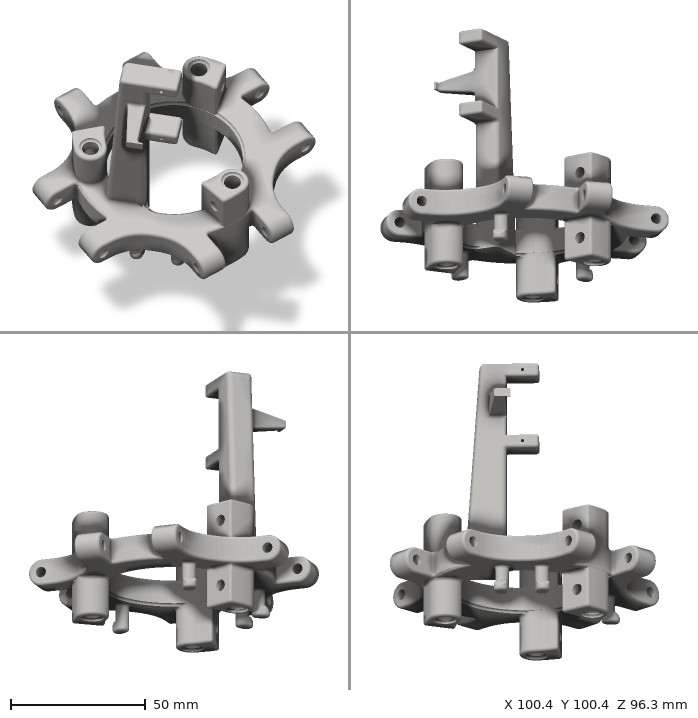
import cadquery as cq
import math

SPAN = 100.4
RING_THICKNESS = 10.0
RING_INNER_R = 25.6
RING_OUTER_R = 38.1
RING_MID_R = (RING_INNER_R + RING_OUTER_R) / 2
LUG_INNER = 10.3
LUG_WIDTH = 9.9
LUG_HOLE_D = 4.0
LUG_HOLE_REACH = (SPAN - RING_THICKNESS) / 2
WIDE_CORNER_R = 20.0
TIGHT_CORNER_R = 1.0
EDGE_R = 1.0
WIDE_RIM_START = -55
WIDE_RIM_END = 0

POST_ANGLES = (9, 129, 249)
POST_HEIGHT = 40.0
POST_INSET = 0.1
POST_FLAT_OFFSET = 9.2
ROD_HOLE_D = 6.3
SCREW_HOLE_D = 4.3
SCREW_HOLE_Z = 12.6

PIN_ANGLES = (58.5, 211.5, 301.5, 328.5)
PIN_D = 5.0
PIN_BOTTOM_Z = -15.1
HOOK_REACH = 1.8
HOOK_TOP_Z = -11.2
HOOK_EDGE_R = 0.7

TOWER_TURN = 45
TOWER_WIDTH = 10.0
TOWER_CENTER_Y = -20.0
TOWER_NEAR_Y = TOWER_CENTER_Y - TOWER_WIDTH / 2
TOWER_FRONT_X = -6.0
TOWER_BACK_BASE_X = -21.0
TOWER_BACK_TOP_X = -16.0
TOWER_TOP_Z = 76.3
TOWER_EDGE_R = 2.0
TOWER_WEB_R = 5.0
RING_TOWER_EDGE_R = 2.0
PRONG_TIP_X = 6.0
PRONG_HEIGHT = 5.0
PRONG_SPACING = 27.7
PRONG_HOLE_D = 1.2
PRONG_HOLE_DEPTH = 5.0

ARM_Z = TOWER_TOP_Z - PRONG_HEIGHT / 2 - PRONG_SPACING / 2
ARM_LENGTH = 16.0
ARM_ROOT_DEPTH = 6.6
ARM_TIP_DEPTH = 4.1
ARM_ROOT_HEIGHT = 8.4
ARM_TIP_HEIGHT = 3.0
ARM_EDGE_R = 0.7
LIP_THICKNESS = 1.0
LIP_HEIGHT = 2.0
LIP_FILLET_R = 1.0
ARM_ROOT_OVERLAP = 1.5

TOUCH = 0.1

RING_TOP_Z = RING_THICKNESS / 2
RING_BOTTOM_Z = -RING_TOP_Z
LOWER_PRONG_BOTTOM_Z = TOWER_TOP_Z - PRONG_HEIGHT - PRONG_SPACING


def cylinder(diameter, z_bottom, z_top, x=0.0, y=0.0):
    return cq.Workplane("XY", origin=(x, y, z_bottom)).circle(diameter / 2).extrude(z_top - z_bottom)


def centered_bar(x_size, y_size, height, x=0.0, y=0.0):
    return cq.Workplane("XY").box(x_size, y_size, height).translate((x, y, 0))


def turn(shape, degrees):
    return shape.rotate((0, 0, 0), (0, 0, 1), degrees)


def opening(radius, half_height, top_edge_r, bottom_edge_r):
    """Tool for a round opening through a body from -half_height to half_height, with rounded mouths."""
    return (
        cq.Workplane("XZ")
        .moveTo(0, -half_height)
        .lineTo(radius + bottom_edge_r, -half_height)
        .radiusArc((radius, bottom_edge_r - half_height), -bottom_edge_r)
        .lineTo(radius, half_height - top_edge_r)
        .radiusArc((radius + top_edge_r, half_height), -top_edge_r)
        .lineTo(0, half_height)
        .close()
        .revolve(360, (0, 0, 0), (0, 1, 0))
    )


def upright_edges_near_ring(shape, wide):
    """Corners between lugs and ring: the wide ones lie near the diagonals."""
    found = []
    for edge in shape.edges("|Z").vals():
        center = edge.Center()
        radius = math.hypot(center.x, center.y)
        near_diagonal = min(abs(center.x), abs(center.y)) > LUG_INNER + LUG_WIDTH / 2
        if RING_INNER_R + EDGE_R < radius < RING_OUTER_R + EDGE_R and near_diagonal == wide:
            found.append(edge)
    return found


def outer_rim_edges(plate):
    """All top and bottom outline edges, without the lines across the lugs where their rounding starts."""
    found = []
    for edge in plate.edges("not(|Z)").vals():
        center = edge.Center()
        if abs(max(abs(center.x), abs(center.y)) - LUG_HOLE_REACH) > EDGE_R / 2:
            found.append(edge)
    return found


def wide_rim_sector():
    """Part of the ring opening, between the tower and the nearest post, whose upper rim is rounded more."""
    hollow = opening(RING_INNER_R, RING_TOP_Z, RING_TOWER_EDGE_R, EDGE_R)
    corners = [(0, 0)]
    for degrees in (WIDE_RIM_START, WIDE_RIM_END):
        radians = math.radians(degrees)
        corners.append((RING_OUTER_R * math.cos(radians), RING_OUTER_R * math.sin(radians)))
    wedge = cq.Workplane("XY").polyline(corners).close().extrude(RING_THICKNESS, both=True)
    return hollow.intersect(wedge)


def ring_plate():
    """Flat ring with two lugs on each side, their ends fully rounded about the hinge holes."""
    plate = cylinder(2 * RING_OUTER_R, RING_BOTTOM_Z, RING_TOP_Z)
    lug_center = LUG_INNER + LUG_WIDTH / 2
    for side in (-1, 1):
        plate = plate.union(centered_bar(SPAN, LUG_WIDTH, RING_THICKNESS, y=side * lug_center))
        plate = plate.union(centered_bar(LUG_WIDTH, SPAN, RING_THICKNESS, x=side * lug_center))
    plate = plate.newObject(upright_edges_near_ring(plate, wide=True)).fillet(WIDE_CORNER_R)
    plate = plate.newObject(upright_edges_near_ring(plate, wide=False)).fillet(TIGHT_CORNER_R)
    for plane in ("XZ", "YZ"):
        rounded = cq.Workplane(plane).slot2D(SPAN, RING_THICKNESS).extrude(SPAN, both=True)
        plate = plate.intersect(rounded)
    plate = plate.newObject(outer_rim_edges(plate)).fillet(EDGE_R)
    plate = plate.cut(opening(RING_INNER_R, RING_TOP_Z, EDGE_R, EDGE_R))
    return plate.cut(wide_rim_sector())


def post_block():
    """Post on the +X side: a round end towards +Y and a flat face towards -Y."""
    inner_r = RING_INNER_R + POST_INSET
    outer_r = RING_OUTER_R - POST_INSET
    wall = outer_r - inner_r
    half = POST_HEIGHT / 2
    block = centered_bar(2 * wall, POST_FLAT_OFFSET, POST_HEIGHT, x=RING_MID_R, y=-POST_FLAT_OFFSET / 2)
    block = block.intersect(cylinder(2 * outer_r, -half, half))
    block = block.cut(cylinder(2 * inner_r, -half, half))
    block = block.edges("|Z").edges("<Y").fillet(EDGE_R)
    return block.union(cylinder(wall, -half, half, x=RING_MID_R))


def post():
    """Post with the rims of both ends rounded."""
    return post_block().faces("<Z or >Z").edges().fillet(EDGE_R)


def base_flare(column, flat):
    """Concave rounding where an upright column meets the top of the ring, kept to the flat of the ring."""
    slab = cq.Workplane("XY").box(2 * SPAN, 2 * SPAN, RING_TOP_Z, centered=(True, True, False))
    foot = slab.union(column.intersect(slab.translate((0, 0, RING_TOP_Z))))
    near_foot = cq.selectors.BoxSelector(
        (-SPAN / 2, -SPAN / 2, RING_TOP_Z - TOUCH),
        (SPAN / 2, SPAN / 2, RING_TOP_Z + TOUCH),
    )
    return foot.edges(near_foot).fillet(EDGE_R).intersect(flat)


def post_holes():
    """Rod hole with rounded mouths, and the screw holes that reach it from the flat face."""
    holes = opening(ROD_HOLE_D / 2, POST_HEIGHT / 2, EDGE_R, EDGE_R).translate((RING_MID_R, 0, 0))
    for z in (-SCREW_HOLE_Z, SCREW_HOLE_Z):
        screw = cq.Workplane("XZ").center(RING_MID_R, z).circle(SCREW_HOLE_D / 2).extrude(POST_FLAT_OFFSET)
        holes = holes.union(screw)
    return holes


def pin():
    """Pin on the +X side, with a hook towards +X whose upper side slopes at 45 degrees."""
    slope_z = HOOK_TOP_Z - HOOK_REACH
    shank = cylinder(PIN_D, PIN_BOTTOM_Z, RING_BOTTOM_Z)
    hook = cq.Workplane("XY", origin=(HOOK_REACH / 2, 0, PIN_BOTTOM_Z))
    hook = hook.slot2D(PIN_D + HOOK_REACH, PIN_D).extrude(HOOK_TOP_Z - PIN_BOTTOM_Z)
    half = PIN_D / 2
    above_slope = (
        cq.Workplane("XZ")
        .polyline([(half, HOOK_TOP_Z), (half + HOOK_REACH, slope_z), (half + HOOK_REACH, HOOK_TOP_Z)])
        .close()
        .extrude(PIN_D, both=True)
    )
    hook = hook.cut(above_slope)
    hook = hook.edges("%ELLIPSE").fillet(HOOK_EDGE_R)
    shape = shank.union(hook).faces("<Z").edges().fillet(EDGE_R)
    root = (
        cq.Workplane("XZ")
        .moveTo(0, RING_BOTTOM_Z)
        .lineTo(half + EDGE_R, RING_BOTTOM_Z)
        .radiusArc((half, RING_BOTTOM_Z - EDGE_R), -EDGE_R)
        .lineTo(0, RING_BOTTOM_Z - EDGE_R)
        .close()
        .revolve(360, (0, 0, 0), (0, 1, 0))
    )
    return shape.union(root).translate((RING_MID_R, 0, 0))


def tower_column():
    """Leaning-backed column with two prongs, standing from the underside of the ring."""
    front, top = TOWER_FRONT_X, TOWER_TOP_Z
    upper_z = top - PRONG_HEIGHT
    lower_z = LOWER_PRONG_BOTTOM_Z + PRONG_HEIGHT
    slope = (TOWER_BACK_TOP_X - TOWER_BACK_BASE_X) / (top - RING_TOP_Z)
    back_bottom_x = TOWER_BACK_BASE_X - slope * RING_THICKNESS
    outline = [
        (back_bottom_x, RING_BOTTOM_Z),
        (TOWER_BACK_TOP_X, top),
        (PRONG_TIP_X, top),
        (PRONG_TIP_X, upper_z),
        (front, upper_z),
        (front, lower_z),
        (PRONG_TIP_X, lower_z),
        (PRONG_TIP_X, LOWER_PRONG_BOTTOM_Z),
        (front, LOWER_PRONG_BOTTOM_Z),
        (front, RING_BOTTOM_Z),
    ]
    column = cq.Workplane("XZ", origin=(0, TOWER_CENTER_Y, 0)).polyline(outline).close()
    column = column.extrude(TOWER_WIDTH / 2, both=True)

    back_edges = []
    lower_front_edges = []
    for edge in column.edges().vals():
        center = edge.Center()
        if center.x < TOWER_BACK_TOP_X + TOUCH and center.z > RING_TOP_Z:
            back_edges.append(edge)
        if abs(center.x - front) < TOUCH and RING_TOP_Z < center.z < LOWER_PRONG_BOTTOM_Z - TOUCH:
            lower_front_edges.append(edge)
    column = column.newObject(back_edges + lower_front_edges).fillet(TOWER_EDGE_R)

    upper_edges = []
    for edge in column.edges().vals():
        center = edge.Center()
        inner_corner = abs(center.x - front) < TOUCH and abs(center.y - TOWER_CENTER_Y) < TOUCH
        clear_of_back = center.x > TOWER_BACK_TOP_X + TOWER_EDGE_R
        if clear_of_back and center.z > LOWER_PRONG_BOTTOM_Z - TOUCH and not inner_corner:
            upper_edges.append(edge)
    return column.newObject(upper_edges).fillet(EDGE_R)


def prong_holes():
    """Blind holes in the side of the two prongs."""
    upper_z = TOWER_TOP_Z - PRONG_HEIGHT / 2
    points = [(0, upper_z), (0, upper_z - PRONG_SPACING)]
    holes = cq.Workplane("XZ", origin=(0, TOWER_NEAR_Y, 0)).pushPoints(points).circle(PRONG_HOLE_D / 2)
    return holes.extrude(-PRONG_HOLE_DEPTH)


def tower_web():
    """Fillet joining the front of the tower to the inner wall of the ring."""
    center_x = TOWER_FRONT_X + TOWER_WEB_R
    center_y = -math.sqrt((RING_INNER_R - TOWER_WEB_R) ** 2 - center_x**2)
    reach = RING_MID_R / (RING_INNER_R - TOWER_WEB_R)
    outline = [
        (center_x, center_y),
        (center_x * reach, center_y * reach),
        (TOWER_FRONT_X - EDGE_R, center_y * reach),
        (TOWER_FRONT_X - EDGE_R, center_y),
    ]
    web = cq.Workplane("XY", origin=(0, 0, RING_BOTTOM_Z)).polyline(outline).close().extrude(RING_THICKNESS)
    hollow = opening(TOWER_WEB_R, RING_TOP_Z, RING_TOWER_EDGE_R, EDGE_R)
    return web.cut(hollow.translate((center_x, center_y, 0)))


def arm():
    """Tapering arm on the side of the tower, with an upturned lip at its tip."""
    root_y = TOWER_NEAR_Y
    tip_y = root_y - ARM_LENGTH
    front = TOWER_FRONT_X
    inside = ARM_ROOT_OVERLAP
    plan = (
        cq.Workplane("XY")
        .moveTo(front, root_y + inside)
        .lineTo(front, tip_y + LIP_THICKNESS + LIP_FILLET_R)
        .radiusArc((front + LIP_FILLET_R, tip_y + LIP_THICKNESS), -LIP_FILLET_R)
        .lineTo(front + LIP_HEIGHT, tip_y + LIP_THICKNESS)
        .lineTo(front + LIP_HEIGHT, tip_y)
        .lineTo(front - ARM_TIP_DEPTH, tip_y)
        .lineTo(front - ARM_ROOT_DEPTH, root_y)
        .lineTo(front - ARM_ROOT_DEPTH, root_y + inside)
        .close()
        .extrude(ARM_ROOT_HEIGHT, both=True)
    )
    half_root = ARM_ROOT_HEIGHT / 2
    half_tip = ARM_TIP_HEIGHT / 2
    side = (
        cq.Workplane("YZ")
        .polyline([
            (root_y + inside, half_root), (root_y, half_root), (tip_y, half_tip),
            (tip_y, -half_tip), (root_y, -half_root), (root_y + inside, -half_root),
        ])
        .close()
        .extrude(SPAN, both=True)
    )
    core = plan.intersect(side)
    longest_cross_edge = max(ARM_ROOT_DEPTH, ARM_ROOT_HEIGHT)
    long_edges = [edge for edge in core.edges().vals() if edge.Length() > longest_cross_edge + TOUCH]
    shape = core.newObject(long_edges).fillet(ARM_EDGE_R)

    margin = 2 * EDGE_R
    slab_height = ARM_ROOT_HEIGHT + 2 * margin
    slab_depth = ARM_ROOT_DEPTH + 2 * margin
    slab = cq.Workplane("XY").box(slab_depth, inside, slab_height, centered=(False, False, True))
    slab = slab.translate((front - ARM_ROOT_DEPTH - margin, root_y, 0))
    on_root = cq.selectors.BoxSelector(
        (front - ARM_ROOT_DEPTH - EDGE_R, root_y - TOUCH, TOUCH - slab_height / 2),
        (front + EDGE_R, root_y + TOUCH, slab_height / 2 - TOUCH),
    )
    shape = shape.union(slab).edges(on_root).fillet(EDGE_R).cut(slab.cut(core))

    in_front = cq.Workplane("XY").box(margin, inside + EDGE_R, slab_height, centered=(False, False, True))
    shape = shape.cut(in_front.translate((front, root_y - EDGE_R, 0)))
    return shape.translate((0, 0, ARM_Z))


def lug_holes():
    """Hinge holes along X and along Y, each passing through a pair of lugs."""
    centers = [(-LUG_HOLE_REACH, 0), (LUG_HOLE_REACH, 0)]
    holes = cq.Workplane("XY")
    for plane in ("XZ", "YZ"):
        pair = cq.Workplane(plane).pushPoints(centers).circle(LUG_HOLE_D / 2)
        holes = holes.add(pair.extrude(SPAN / 2, both=True))
    return holes


def whole_part():
    body = ring_plate()
    flat_face = body.faces(">Z").val()
    flat = cq.Workplane(cq.Solid.extrudeLinear(flat_face, cq.Vector(0, 0, EDGE_R)))

    for angle in POST_ANGLES:
        flare = base_flare(turn(post_block(), angle), flat)
        body = body.union(turn(post(), angle)).union(flare).union(flare.mirror("XY"))
    for angle in PIN_ANGLES:
        body = body.union(turn(pin(), angle))

    column = tower_column()
    for shape in (column, tower_web(), arm()):
        body = body.union(turn(shape, TOWER_TURN))
    body = body.union(base_flare(turn(column, TOWER_TURN), flat))

    for angle in POST_ANGLES:
        body = body.cut(turn(post_holes(), angle))
    body = body.cut(turn(prong_holes(), TOWER_TURN))
    for hole in lug_holes().vals():
        body = body.cut(cq.Workplane(hole))
    return body.clean()


result = whole_part()